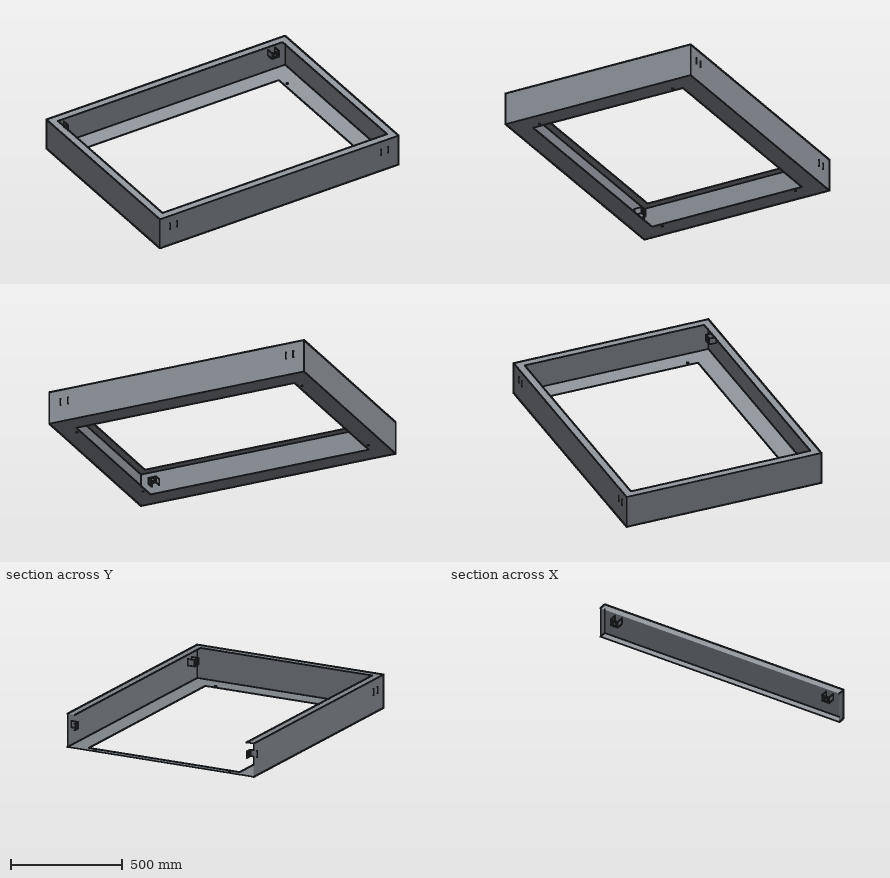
import cadquery as cq

width = 954.0
length = 1267.0
height = 157.0
sheet = 1.0

top_lip = 38.0
bottom_flange = 91.0

hole_diameter = 8.0
hole_spacing_x = 687.0
hole_spacing_y = 1120.0

bracket_width = 38.0
bracket_height = 30.0
bracket_top_drop = 43.0
bracket_reach = 37.0
bracket_hole_diameter = 20.0


def centered_box(size_x, size_y, bottom, top):
    """Box centred on the Z axis between two levels."""
    return cq.Workplane("XY").workplane(offset=bottom).rect(size_x, size_y).extrude(top - bottom)


def opening(inset, bottom, top):
    """Rectangular space inset by the same distance from all four outer faces."""
    return centered_box(width - 2 * inset, length - 2 * inset, bottom, top)


def frame():
    """Thin outer walls with a narrow top lip and a wider bottom flange."""
    return (
        centered_box(width, length, 0, height)
        .cut(opening(sheet, sheet, height - sheet))
        .cut(opening(top_lip, height - sheet, height))
        .cut(opening(bottom_flange, 0, sheet))
    )


def mounting_holes():
    """Four vertical through holes in the flange."""
    return (
        cq.Workplane("XY")
        .rarray(hole_spacing_x, hole_spacing_y, 2, 2)
        .circle(hole_diameter / 2)
        .extrude(sheet)
    )


def bracket(side, center_y):
    """U of sheet open at top and bottom, with a hole in its front plate; side is -1 or 1 along X."""
    bottom = height - bracket_top_drop - bracket_height
    wall_inner_x = width / 2 - sheet
    front_x = width / 2 - bracket_reach
    depth = wall_inner_x - front_x
    center_x = side * (wall_inner_x + front_x) / 2
    outer = cq.Workplane("XY").box(depth, bracket_width, bracket_height)
    channel = (
        cq.Workplane("XY")
        .center(side * sheet / 2, 0)
        .box(depth - sheet, bracket_width - 2 * sheet, bracket_height)
    )
    hole = (
        cq.Workplane("YZ")
        .circle(bracket_hole_diameter / 2)
        .extrude(-side * depth)
    )
    return outer.cut(channel).cut(hole).translate((center_x, center_y, bottom + bracket_height / 2))


result = frame().cut(mounting_holes())
for side in (-1, 1):
    for end in (-1, 1):
        result = result.union(bracket(side, end * hole_spacing_y / 2))